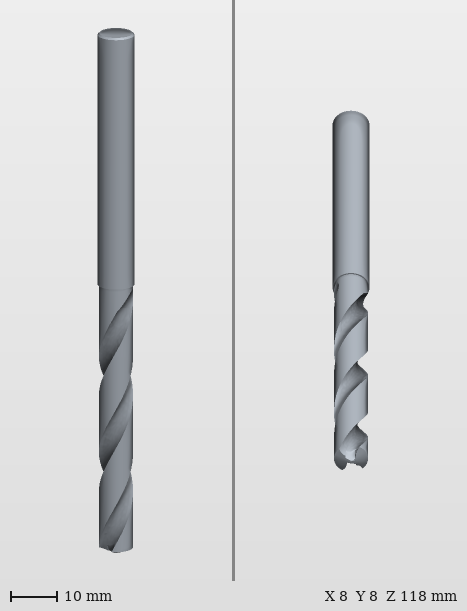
import cadquery as cq
import math

overall_length = 118.0
shank_diameter = 8.0
shank_length = 57.0
shank_chamfer = 0.4
drill_diameter = 7.4
cutting_length = 45.5
point_angle = 140.0

flute_count = 2
helix_angle = 30.0
web_diameter = 2.8
flute_radius = 2.3
flute_end_z = 55.8
flute_end_angle = 195.0
flute_start_z = -1.0

runout_turn = 70.0
runout_slope = 50.0
runout_reach = drill_diameter

gash_left = 1.4
gash_right = 0.7
gash_height = 3.6
gash_web = 0.6
gash_slope = 27.0
gash_turn = 34.0

drill_radius = drill_diameter / 2
shoulder_z = overall_length - shank_length
point_height = drill_radius / math.tan(math.radians(point_angle / 2))
lead = math.pi * shank_diameter / math.tan(math.radians(helix_angle))
flute_offset = web_diameter / 2 + flute_radius
flute_height = flute_end_z - flute_start_z
flute_spacing = 360.0 / flute_count


def flute_section(z, angle):
    """Round flute section at height z, turned about the drill axis by angle."""
    x = flute_offset * math.cos(math.radians(angle))
    y = flute_offset * math.sin(math.radians(angle))
    return cq.Workplane("XY", origin=(0, 0, z)).moveTo(x, y).circle(flute_radius)


def helical_flute(end_angle):
    """Helical groove rising from below the point to the flute end."""
    twist = 360.0 * flute_height / lead
    return flute_section(flute_start_z, end_angle - twist).twistExtrude(flute_height, twist)


def flute_runout(end_angle):
    """Straight groove that carries on from the flute end and leaves the neck."""
    direction = math.radians(end_angle + runout_turn)
    rise = runout_reach * math.tan(math.radians(runout_slope))
    travel = cq.Vector(
        runout_reach * math.cos(direction),
        runout_reach * math.sin(direction),
        rise,
    )
    start = cq.Vector(0, 0, flute_end_z)
    path = cq.Workplane(cq.Edge.makeLine(start, start + travel))
    return flute_section(flute_end_z, end_angle).sweep(path)


def cut_flutes(body):
    for index in range(flute_count):
        end_angle = flute_end_angle + index * flute_spacing
        body = body.cut(helical_flute(end_angle)).cut(flute_runout(end_angle))
    return body


def point_gash():
    """Wedge with a sloping floor that reaches into the web from the -Y side."""
    floor_y = -gash_web / 2
    floor_top_y = floor_y - gash_height * math.tan(math.radians(gash_slope))
    return (
        cq.Workplane("YZ", origin=(-gash_left, 0, 0))
        .moveTo(floor_y, 0)
        .lineTo(floor_top_y, gash_height)
        .lineTo(-drill_radius, gash_height)
        .lineTo(-drill_radius, 0)
        .close()
        .extrude(gash_left + gash_right)
    )


def make_cutting_head():
    """Fluted lower body with a conical point."""
    blank = (
        cq.Workplane("XZ")
        .lineTo(drill_radius, point_height)
        .lineTo(drill_radius, cutting_length)
        .lineTo(0, cutting_length)
        .close()
        .revolve(360, (0, 0, 0), (0, 1, 0))
    )
    head = cut_flutes(blank)
    for index in range(flute_count):
        gash = point_gash().rotate((0, 0, 0), (0, 0, 1), gash_turn + index * flute_spacing)
        head = head.cut(gash)
    return head


def make_shank():
    """Plain shank with the fluted neck below it."""
    neck = (
        cq.Workplane("XY", origin=(0, 0, cutting_length))
        .circle(drill_radius)
        .extrude(shoulder_z - cutting_length)
    )
    grip = (
        cq.Workplane("XY", origin=(0, 0, shoulder_z))
        .circle(shank_diameter / 2)
        .extrude(shank_length)
        .faces(">Z")
        .chamfer(shank_chamfer)
    )
    return cut_flutes(neck).union(grip)


cutting_head = make_cutting_head()
shank = make_shank()
result = cq.Compound.makeCompound([cutting_head.val(), shank.val()])